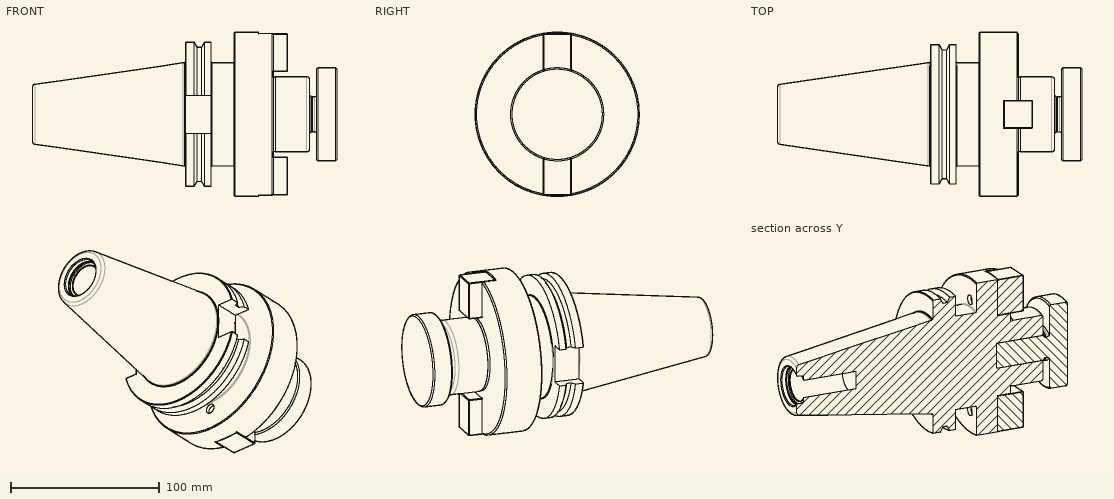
import cadquery as cq
import math


total_length = 205.62
taper_length = 101.6
flange_start = 103.2
flange_end = 120.65
disc_start = 136.2
disc_end = 162.56
pilot_end = 187.1
head_length = 14.0
head_start = total_length - head_length

taper_large_radius = 69.85 / 2
taper_slope = 7 / 24 / 2
taper_small_radius = taper_large_radius - taper_slope * taper_length
taper_end_fillet = 2.0

flange_radius = 97.5 / 2
flange_edge_chamfer = 0.5
groove_center = 112.65
groove_depth = 3.3
groove_half_mouth = 3.45
groove_flank_angle = math.radians(30)
groove_half_floor = groove_half_mouth - groove_depth * math.tan(groove_flank_angle)
drive_slot_width = 25.7
drive_slot_floor_rear = 37.7
drive_slot_floor_front = 35.3

collar_radius = taper_large_radius
root_fillet = 0.5
disc_radius = 111 / 2
disc_rear_chamfer = 0.6
disc_front_chamfer = 1.0
pilot_radius = 50.8 / 2
pilot_undercut_radius = 50.3 / 2
pilot_undercut_width = 1.6
pilot_fillet = 2.0

bore_radius = 21.97 / 2
bore_depth = 45.0
bore_chamfer = 0.4
counterbore_radius = 26.7 / 2
counterbore_depth = 5.2
counterbore_step_radius = 26.2 / 2
counterbore_step_length = 1.2
counterbore_step_taper = 0.6
bore_mouth_radius = 28.2 / 2
bore_mouth_depth = 0.6

thread_radius = 25.4 / 2
thread_start = 152.0
thread_lead_out = 0.3
thread_end = pilot_end + thread_lead_out
relief_radius = 23.44 / 2
neck_radius = 23.88 / 2
neck_start = 188.6
neck_end = 190.4
neck_chamfer = 0.5
neck_root_radius = neck_radius + 0.3
head_radius = 63 / 2
head_chamfer = 1.0

key_width = 19.05
key_length = 19.6
key_end = 172.2
key_top = 54.5
key_bottom = 28.8
key_chamfer = 0.5

blind_hole_radius = 6.65 / 2
blind_hole_depth = 2.5
blind_hole_offset = 39.8


def x_cylinder(radius, start, end):
    """Solid cylinder about the X axis."""
    return cq.Workplane("YZ", origin=(start, 0, 0)).circle(radius).extrude(end - start)


def revolve_about_x(points):
    """Solid of revolution from an outline of (x, radius) points."""
    return cq.Workplane("XY").polyline(points).close().revolve(360, (0, 0, 0), (1, 0, 0))


def make_taper():
    taper = revolve_about_x([
        (0, 0),
        (0, taper_small_radius),
        (taper_length, taper_large_radius),
        (taper_length, 0),
    ])
    return taper.faces("<X").edges().fillet(taper_end_fillet)


def make_flange():
    """V-grooved flange with a drive slot on the +Y and -Y sides."""
    floor_radius = flange_radius - groove_depth
    flange = revolve_about_x([
        (flange_start, 0),
        (flange_start, flange_radius - flange_edge_chamfer),
        (flange_start + flange_edge_chamfer, flange_radius),
        (groove_center - groove_half_mouth, flange_radius),
        (groove_center - groove_half_floor, floor_radius),
        (groove_center + groove_half_floor, floor_radius),
        (groove_center + groove_half_mouth, flange_radius),
        (flange_end, flange_radius),
        (flange_end, 0),
    ])
    slot_center_x = (flange_start + flange_end) / 2
    for side, floor in ((1, drive_slot_floor_rear), (-1, drive_slot_floor_front)):
        slot = cq.Workplane("XY").box(flange_end - flange_start, flange_radius, drive_slot_width)
        slot = slot.translate((slot_center_x, side * (floor + flange_radius / 2), 0))
        flange = flange.cut(slot)
    return flange


def make_key(side):
    key = cq.Workplane("XY").box(key_length, key_width, key_top - key_bottom)
    key = key.edges().chamfer(key_chamfer)
    return key.translate((key_end - key_length / 2, 0, side * (key_top + key_bottom) / 2))


def make_key_slot(side):
    slot_depth = disc_radius - key_bottom
    slot = cq.Workplane("XY").box(key_length, key_width, slot_depth)
    return slot.translate((key_end - key_length / 2, 0, side * (key_bottom + slot_depth / 2)))


def make_disc():
    disc = x_cylinder(disc_radius, disc_start, disc_end)
    disc = disc.faces("<X").edges().chamfer(disc_rear_chamfer)
    return disc.faces(">X").edges().chamfer(disc_front_chamfer)


def make_pilot():
    undercut_end = disc_end + pilot_undercut_width
    pilot = revolve_about_x([
        (disc_end, 0),
        (disc_end, pilot_undercut_radius),
        (undercut_end, pilot_undercut_radius),
        (undercut_end, pilot_radius),
        (pilot_end, pilot_radius),
        (pilot_end, 0),
    ])
    return pilot.faces(">X").edges().fillet(pilot_fillet)


def make_drawbar_bore():
    step_start = counterbore_depth - counterbore_step_length
    return revolve_about_x([
        (0, 0),
        (0, bore_mouth_radius),
        (bore_mouth_depth, counterbore_radius),
        (step_start - counterbore_step_taper, counterbore_radius),
        (step_start, counterbore_step_radius),
        (counterbore_depth, counterbore_step_radius),
        (counterbore_depth, bore_radius + bore_chamfer),
        (counterbore_depth + bore_chamfer, bore_radius),
        (bore_depth, bore_radius),
        (bore_depth, 0),
    ])


def make_blind_hole(side):
    hole = x_cylinder(blind_hole_radius, disc_start, disc_start + blind_hole_depth)
    return hole.translate((0, 0, side * blind_hole_offset))


def make_neck(start, end, fillet_start):
    """Plain cylinder that flares into the face at its end, and also at its start if asked."""
    neck = cq.Workplane("XY").moveTo(start, 0)
    if fillet_start:
        neck = neck.lineTo(start, collar_radius + root_fillet)
        neck = neck.radiusArc((start + root_fillet, collar_radius), -root_fillet)
    else:
        neck = neck.lineTo(start, collar_radius)
    neck = neck.lineTo(end - root_fillet, collar_radius)
    neck = neck.radiusArc((end, collar_radius + root_fillet), -root_fillet)
    return neck.lineTo(end, 0).close().revolve(360, (0, 0, 0), (1, 0, 0))


def make_housing():
    housing = make_taper().union(make_neck(taper_length, flange_start, False))
    housing = housing.union(make_flange())
    housing = housing.union(make_neck(flange_end, disc_start, True))
    housing = housing.union(make_disc()).union(make_pilot())
    housing = housing.cut(make_drawbar_bore())
    housing = housing.cut(x_cylinder(thread_radius, thread_start, pilot_end))
    for side in (1, -1):
        housing = housing.cut(make_key_slot(side)).cut(make_blind_hole(side))
    return housing


def make_screw():
    shank = revolve_about_x([
        (thread_start, 0),
        (thread_start, thread_radius),
        (thread_end, thread_radius),
        (thread_end + thread_radius - relief_radius, relief_radius),
        (neck_start, relief_radius),
        (neck_start + neck_chamfer, neck_radius),
        (neck_end, neck_radius),
        (head_start, neck_root_radius),
        (head_start, 0),
    ])
    head = x_cylinder(head_radius, head_start, total_length).edges().chamfer(head_chamfer)
    return shank.union(head)


housing = make_housing()
screw = make_screw()
keys = [make_key(side) for side in (1, -1)]

result = cq.Compound.makeCompound([housing.val(), screw.val(), *[key.val() for key in keys]])